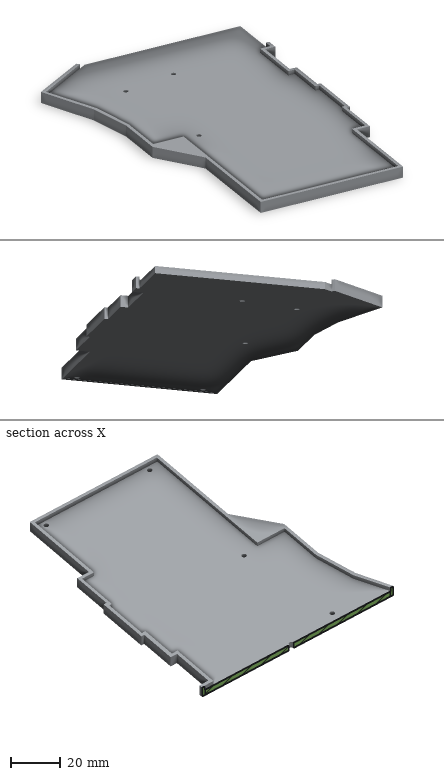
import cadquery as cq

length = 147.0
depth = 103.2
height = 5.0
plate_thickness = 3.1
wall = 1.5
end_gap = 0.3
hole_diameter = 2.2

top_y = depth
shoulder_y = top_y - wall
notch_y = 98.5
right_top_y = 95.7

left_ledge_y = 100.0
right_ledge_y = 100.4

tab_left_x = 21.5
notch_left_x = 26.6
notch_right_x = 47.2
raised_left_x = 64.5
raised_right_x = 89.2
raised_inner_right_x = 87.3
shoulder_right_x = 108.3

right_bottom_y = 29.5
bottom_y = 15.5
gusset_right_x = 100.8
gusset_left_x = 81.9
pocket_right_x = 79.8

bend_outer = (59.7, bottom_y)
knee_outer = (40.7, 11.2)
tip_outer = (16.3, 0.0)
rim_end_outer = (0.9, 25.0)
bend_inner = (59.2, bottom_y + wall)
knee_inner = (40.0, 12.6)
tip_inner = (17.2, 1.9)
plate_corner = (0.0, 29.4)

rim_end_x = 2.0
slant_slope = (tip_inner[1] - plate_corner[1]) / (tip_inner[0] - plate_corner[0])
rim_end_inner = (rim_end_x, plate_corner[1] + slant_slope * rim_end_x)

hole_centers = [(24.8, 56.9), (29.1, 32.3), (78.6, 38.8), (142.9, 90.4), (143.0, 36.8)]


def inner_edge(right_x):
    """Edge shared by plate and rim, clockwise from the tab to the slanted edge's tip."""
    return [
        (tab_left_x, shoulder_y),
        (notch_left_x - wall, shoulder_y),
        (notch_left_x - wall, notch_y - wall),
        (notch_right_x + wall, notch_y - wall),
        (notch_right_x + wall, left_ledge_y),
        (raised_left_x + wall, left_ledge_y),
        (raised_left_x + wall, shoulder_y),
        (raised_inner_right_x, shoulder_y),
        (raised_inner_right_x, right_ledge_y),
        (shoulder_right_x - wall, right_ledge_y),
        (shoulder_right_x - wall, right_top_y - wall),
        (right_x, right_top_y - wall),
        (right_x, right_bottom_y + wall),
        (pocket_right_x, right_bottom_y + wall),
        (pocket_right_x, bottom_y + wall),
        bend_inner,
        knee_inner,
        tip_inner,
    ]


def outer_edge():
    """Outside of the rim, clockwise from the tab to the rim's slanted end."""
    return [
        (tab_left_x, top_y),
        (notch_left_x, top_y),
        (notch_left_x, notch_y),
        (notch_right_x, notch_y),
        (notch_right_x, shoulder_y),
        (raised_left_x, shoulder_y),
        (raised_left_x, top_y),
        (raised_right_x, top_y),
        (raised_right_x, shoulder_y),
        (shoulder_right_x, shoulder_y),
        (shoulder_right_x, right_top_y),
        (length, right_top_y),
        (length, right_bottom_y),
        (gusset_right_x, right_bottom_y),
        (gusset_left_x, bottom_y),
        bend_outer,
        knee_outer,
        tip_outer,
        rim_end_outer,
    ]


def make_plate():
    """Flat plate with five through holes, open along its left side."""
    outline = [(0, shoulder_y)] + inner_edge(length - wall - end_gap) + [plate_corner]
    plate = cq.Workplane("XY").polyline(outline).close().extrude(plate_thickness)
    holes = cq.Workplane("XY").pushPoints(hole_centers).circle(hole_diameter / 2).extrude(plate_thickness)
    return plate.cut(holes)


def make_rim():
    """Wall around the plate, from the tab at the top to the slanted lower left edge."""
    inside = inner_edge(length - wall) + [rim_end_inner]
    outline = outer_edge() + inside[::-1]
    return cq.Workplane("XY").polyline(outline).close().extrude(height)


plate = make_plate()
rim = make_rim()

result = cq.Compound.makeCompound([plate.val(), rim.val()])